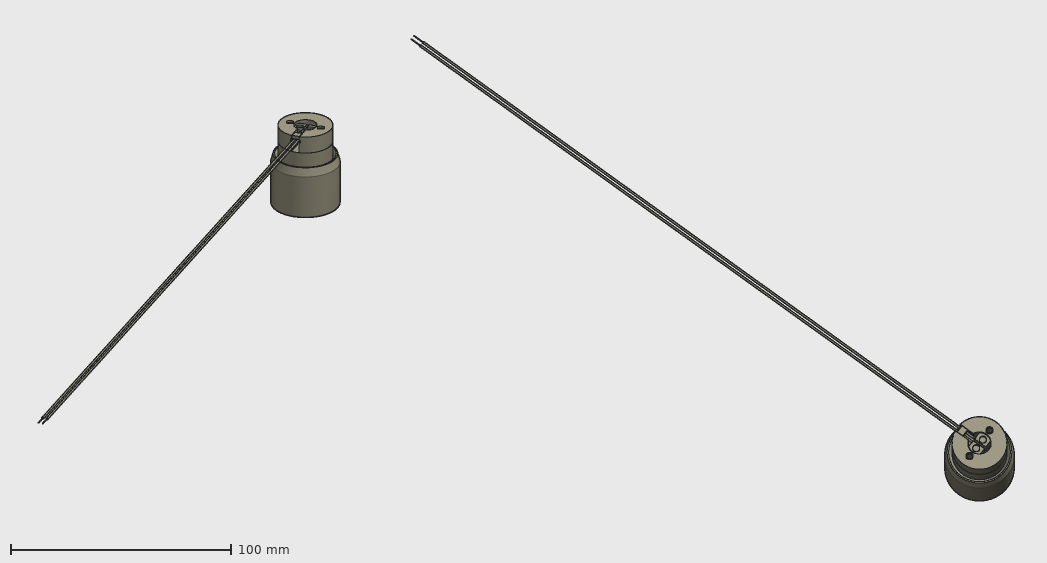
import cadquery as cq

SHELL_DIA = 31.7
SHELL_TOP_DIA = 29.5
CONE_START_Z = 21.0
SHELL_TOP_Z = 25.0
BOTTOM_FILLET = 0.7
OPENING_DIA = 28.0
OPENING_DEPTH = 2.0

NECK_DIA = 25.0
NECK_BOTTOM_Z = SHELL_TOP_Z - OPENING_DEPTH
NECK_TOP_Z = 31.5
TOP_Z = 39.5

CHAMBER_DIA = 10.5
SCREW_HOLE_DIA = 2.45
SCREW_HEAD_DIA = 3.25
SCREW_HEAD_DEPTH = 1.0
SCREW_SPACING = 15.2

TOTAL_LENGTH = 337.3
WIRE_DIA = 1.0
CONDUCTOR_DIA = 0.4
WIRE_SPACING = 2.0
WIRE_DROP = 2.53
WIRE_Z = TOP_Z - WIRE_DROP
STRIPPED_LENGTH = 5.0
CONDUCTOR_END_Y = SHELL_DIA / 2 - TOTAL_LENGTH
WIRE_END_Y = CONDUCTOR_END_Y + STRIPPED_LENGTH

SLOT_WIDTH = 3.7
WINDOW_WIDTH = 4.7
WINDOW_HEIGHT = WIRE_DIA
BRIDGE_FRONT_Y = -11.5
BRIDGE_LENGTH = 3.5
BRIDGE_DROP = 0.5
WINDOW_TOP_Z = WIRE_Z + WINDOW_HEIGHT / 2

TERMINAL_LENGTH = 6.5
TERMINAL_GAP = 1.0
TERMINAL_TOP_Z = 38.0
TERMINAL_HOLE_DIA = 3.25
TERMINAL_HOLE_DEPTH = 1.0
TERMINAL_HOLE_SPACING = 5.0


def cylinder(dia, bottom_z, top_z, x=0):
    return cq.Workplane("XY", origin=(x, 0, bottom_z)).circle(dia / 2).extrude(top_z - bottom_z)


def block(width, front_y, back_y, bottom_z, top_z, x=0):
    base = cq.Workplane("XY", origin=(x, (front_y + back_y) / 2, bottom_z))
    return base.rect(width, back_y - front_y).extrude(top_z - bottom_z)


def rod(dia, x, front_y, back_y):
    return cq.Workplane("XZ", origin=(x, back_y, WIRE_Z)).circle(dia / 2).extrude(back_y - front_y)


def make_shell():
    profile = [
        (0, 0),
        (SHELL_DIA / 2, 0),
        (SHELL_DIA / 2, CONE_START_Z),
        (SHELL_TOP_DIA / 2, SHELL_TOP_Z),
        (OPENING_DIA / 2, SHELL_TOP_Z),
        (NECK_DIA / 2, NECK_BOTTOM_Z),
        (0, NECK_BOTTOM_Z),
    ]
    shell = cq.Workplane("XZ").polyline(profile).close().revolve(360, (0, 0), (0, 1))
    return shell.faces("<Z").edges().fillet(BOTTOM_FILLET)


def make_neck():
    return cylinder(NECK_DIA, NECK_BOTTOM_Z, NECK_TOP_Z)


def make_cap():
    cap = cylinder(NECK_DIA, NECK_TOP_Z, TOP_Z)
    cap = cap.cut(block(SLOT_WIDTH, -NECK_DIA, 0, NECK_TOP_Z, TOP_Z))
    bridge_back_y = BRIDGE_FRONT_Y + BRIDGE_LENGTH
    cap = cap.union(block(SLOT_WIDTH, BRIDGE_FRONT_Y, bridge_back_y, WINDOW_TOP_Z, TOP_Z - BRIDGE_DROP))
    cap = cap.cut(block(WINDOW_WIDTH, -NECK_DIA, 0, WINDOW_TOP_Z - WINDOW_HEIGHT, WINDOW_TOP_Z))
    cap = cap.cut(cylinder(CHAMBER_DIA, NECK_TOP_Z, TOP_Z))
    for side in (-1, 1):
        x = side * SCREW_SPACING / 2
        cap = cap.cut(cylinder(SCREW_HOLE_DIA, NECK_TOP_Z, TOP_Z, x))
        cap = cap.cut(cylinder(SCREW_HEAD_DIA, TOP_Z - SCREW_HEAD_DEPTH, TOP_Z, x))
    return cap


def make_terminal(side):
    half_length = TERMINAL_LENGTH / 2
    width = (CHAMBER_DIA - TERMINAL_GAP) / 2
    x = side * (CHAMBER_DIA + TERMINAL_GAP) / 4
    terminal = block(width, -half_length, half_length, NECK_TOP_Z, TERMINAL_TOP_Z, x)
    terminal = terminal.intersect(cylinder(CHAMBER_DIA, NECK_TOP_Z, TERMINAL_TOP_Z))
    hole_bottom_z = TERMINAL_TOP_Z - TERMINAL_HOLE_DEPTH
    hole_x = side * TERMINAL_HOLE_SPACING / 2
    return terminal.cut(cylinder(TERMINAL_HOLE_DIA, hole_bottom_z, TERMINAL_TOP_Z, hole_x))


def make_wire(x):
    return rod(WIRE_DIA, x, WIRE_END_Y, -TERMINAL_LENGTH / 2)


def make_conductor(x):
    return rod(CONDUCTOR_DIA, x, CONDUCTOR_END_Y, WIRE_END_Y)


bodies = [make_shell().solids().val(), make_neck().solids().val(), make_cap().solids().val()]
for side in (-1, 1):
    wire_x = side * WIRE_SPACING / 2
    bodies.append(make_terminal(side).solids().val())
    bodies.append(make_wire(wire_x).solids().val())
    bodies.append(make_conductor(wire_x).solids().val())

result = cq.Compound.makeCompound(bodies)